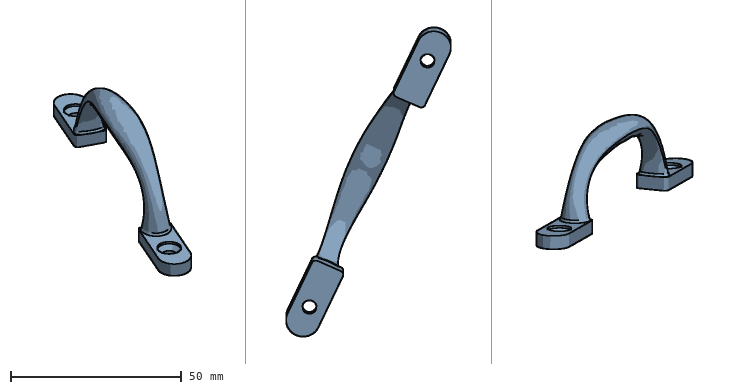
import cadquery as cq
import math

overall_length = 102
foot_width = 10.0
foot_height = 4.1
foot_inner_x = 27.6
foot_corner_radius = 1.2

hole_x = 41.5
hole_diameter = 4.1
countersink_diameter = 7.0
countersink_angle = 90
countersink_rim_depth = 0.7

collar_height = 0.8
collar_spread = 0.4
collar_top_z = foot_height + collar_height

GRIP_SECTIONS = [
    ((33.9, collar_top_z), (27.8, collar_top_z), 4.3, 0.22),
    ((33.0, 9.7), (27.6, 8.9), 3.5, 0.23),
    ((31.2, 14.0), (26.6, 11.8), 3.1, 0.24),
    ((27.2, 18.9), (24.0, 15.6), 3.0, 0.25),
    ((20.6, 23.5), (18.2, 18.5), 3.5, 0.38),
    ((9.8, 26.4), (8.8, 20.2), 4.6, 0.46),
]
MIDDLE_SECTION = ((0, 27.0), (0, 20.5), foot_width / 2, 0.5)


def section_wire(outer, inner, half_width, widest_fraction, spread=0):
    """Closed egg-shaped section: two half ellipses meeting at the widest line."""
    dx = outer[0] - inner[0]
    dz = outer[1] - inner[1]
    depth = math.hypot(dx, dz)
    inward_depth = depth * widest_fraction
    outward_depth = depth - inward_depth
    center = (inner[0] + dx * widest_fraction, 0, inner[1] + dz * widest_fraction)
    outward = cq.Vector(dx, 0, dz).normalized()
    plane = cq.Plane(origin=center, xDir=outward, normal=outward.cross(cq.Vector(0, 1, 0)))
    side = half_width + spread

    def half_ellipse(reach, start_angle):
        return cq.Workplane(plane).ellipseArc(
            reach + spread, side, start_angle, start_angle + 180, startAtCurrent=False
        ).val()

    return cq.Wire.assembleEdges([half_ellipse(outward_depth, -90), half_ellipse(inward_depth, 90)])


def mirrored_section(section):
    """The matching section on the -X half."""
    (outer_x, outer_z), (inner_x, inner_z), half_width, widest_fraction = section
    return ((-outer_x, outer_z), (-inner_x, inner_z), half_width, widest_fraction)


def make_grip():
    other_half = [mirrored_section(section) for section in reversed(GRIP_SECTIONS)]
    sections = GRIP_SECTIONS + [MIDDLE_SECTION] + other_half
    return cq.Workplane(cq.Solid.makeLoft([section_wire(*section) for section in sections]))


def make_collar():
    outer, inner, half_width, widest_fraction = GRIP_SECTIONS[0]
    lower = section_wire(
        (outer[0], foot_height), (inner[0], foot_height), half_width, widest_fraction, collar_spread
    )
    upper = section_wire(outer, inner, half_width, widest_fraction)
    return cq.Workplane(cq.Solid.makeLoft([lower, upper], True))


def make_foot():
    """Foot at +X: rounded outer end and softened inner corners."""
    half_width = foot_width / 2
    round_center_x = overall_length / 2 - half_width
    foot = (
        cq.Workplane("XY")
        .moveTo(foot_inner_x, -half_width)
        .lineTo(round_center_x, -half_width)
        .threePointArc((overall_length / 2, 0), (round_center_x, half_width))
        .lineTo(foot_inner_x, half_width)
        .close()
        .extrude(foot_height)
    )
    foot = foot.edges("|Z").edges("<X").fillet(foot_corner_radius)
    rim = (
        cq.Workplane("XY", origin=(hole_x, 0, foot_height))
        .circle(countersink_diameter / 2)
        .extrude(-countersink_rim_depth)
    )
    return (
        foot.cut(rim)
        .faces(">Z")
        .workplane(origin=(hole_x, 0, 0), offset=-countersink_rim_depth)
        .cskHole(hole_diameter, countersink_diameter, countersink_angle)
    )


end = make_foot().union(make_collar())
result = make_grip().union(end).union(end.mirror("YZ"))